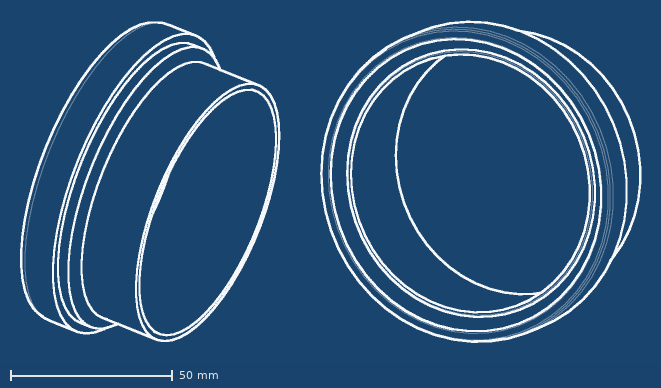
import cadquery as cq
import math

total_length = 38.0
taper_length = 1.9
edge_round = 0.5
flange_length = 12.1
shoulder_end = 15.8
neck_start = 18.2

bore_radius = 81.0 / 2
neck_radius = 85.0 / 2
shoulder_radius = 93 / 2
flange_radius = 98.9 / 2
taper_small_radius = 49.1

groove_outer_radius = 46.5
groove_mouth_round = 0.6
groove_inner_radius = 42.0
groove_depth = 5.0
groove_center_radius = 43.8
lip_setback = 3.9
lip_round = 0.6

DIAGONAL = math.sqrt(0.5)


def round_midpoint(center_x, center_r, radius, r_sign):
    """Middle of a quarter round that faces the grooved end."""
    return (center_x - radius * DIAGONAL, center_r + r_sign * radius * DIAGONAL)


lip_center_r = groove_inner_radius - lip_round
mouth_start = (groove_mouth_round, groove_outer_radius - groove_mouth_round)
groove_bottom = (groove_depth, groove_center_radius)
groove_end = (lip_setback + lip_round, groove_inner_radius)

profile = (
    cq.Workplane("XY")
    .moveTo(lip_setback, bore_radius)
    .lineTo(total_length, bore_radius)
    .lineTo(total_length, neck_radius)
    .lineTo(neck_start, neck_radius)
    .lineTo(shoulder_end, shoulder_radius)
    .lineTo(flange_length, shoulder_radius)
    .lineTo(flange_length, flange_radius)
    .lineTo(taper_length, flange_radius)
    .lineTo(edge_round, taper_small_radius)
    .threePointArc(
        round_midpoint(edge_round, taper_small_radius - edge_round, edge_round, 1),
        (0, taper_small_radius - edge_round),
    )
    .lineTo(0, groove_outer_radius)
    .threePointArc(
        round_midpoint(groove_mouth_round, groove_outer_radius, groove_mouth_round, -1),
        mouth_start,
    )
    .threePointArc(groove_bottom, groove_end)
    .threePointArc(
        round_midpoint(groove_end[0], lip_center_r, lip_round, 1),
        (lip_setback, lip_center_r),
    )
    .close()
)

result = profile.revolve(360, (0, 0, 0), (1, 0, 0))